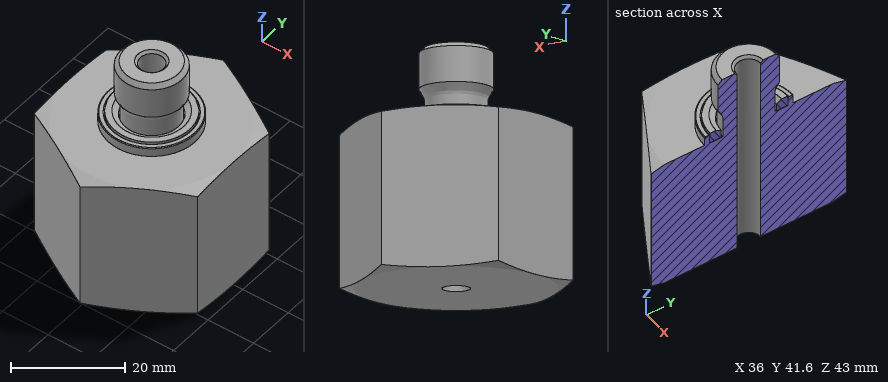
import cadquery as cq
import math

total_height = 43.0
hex_width = 36.0
hex_height = 29.02
hex_corner_diameter = hex_width / math.cos(math.radians(30))
hex_chamfer_diameter = 35.9
hex_chamfer_angle = 15.0

collar_diameter = 18.9
collar_top = 31.0
collar_chamfer = 0.17
recess_diameter = 16.6
recess_floor = hex_height
recess_chamfer = 0.2

neck_diameter = 11.2
neck_top = 33.65
thread_runout_diameter = 11.45
thread_runout_bottom = 34.23
thread_diameter = 13.15
thread_bottom = 35.7
thread_chamfer = 0.85
bore_diameter = 5.0
bore_mouth_diameter = 6.0
bore_mouth_depth = (bore_mouth_diameter - bore_diameter) / 2

seal_diameter = 16.5
seal_top = 31.3
seal_mouth_diameter = 13.95
seal_bore_diameter = 11.6
seal_mouth_slope = 30.0
seal_mouth_depth = (seal_mouth_diameter - seal_bore_diameter) / 2 * math.tan(math.radians(seal_mouth_slope))


def revolve_profile(points):
    """Turn a closed (radius, height) outline about the Z axis."""
    return cq.Workplane("XZ").polyline(points).close().revolve(360, (0, 0), (0, 1))


def make_hex_base():
    """Hexagonal prism with its corners turned off conically at both ends."""
    prism = (
        cq.Workplane("XY")
        .polygon(6, hex_corner_diameter)
        .extrude(hex_height)
        .rotate((0, 0, 0), (0, 0, 1), 30)
    )
    inner_radius = hex_chamfer_diameter / 2
    outer_radius = hex_corner_diameter / 2
    drop = (outer_radius - inner_radius) * math.tan(math.radians(hex_chamfer_angle))
    corner_envelope = revolve_profile([
        (0, 0),
        (inner_radius, 0),
        (outer_radius, drop),
        (outer_radius, hex_height - drop),
        (inner_radius, hex_height),
        (0, hex_height),
    ])
    return prism.intersect(corner_envelope)


def make_collar():
    """Chamfered collar with a round recess, chamfered at its mouth, around the stud."""
    collar = (
        cq.Workplane("XY", origin=(0, 0, hex_height))
        .circle(collar_diameter / 2)
        .extrude(collar_top - hex_height)
        .faces(">Z")
        .chamfer(collar_chamfer)
    )
    recess = revolve_profile([
        (0, recess_floor),
        (recess_diameter / 2, recess_floor),
        (recess_diameter / 2, collar_top - recess_chamfer),
        (recess_diameter / 2 + recess_chamfer, collar_top),
        (0, collar_top),
    ])
    return collar.cut(recess)


def make_stud():
    """Stud with a plain cylindrical thread section on a narrower neck."""
    return revolve_profile([
        (0, recess_floor),
        (neck_diameter / 2, recess_floor),
        (neck_diameter / 2, neck_top),
        (thread_runout_diameter / 2, thread_runout_bottom),
        (thread_diameter / 2, thread_bottom),
        (thread_diameter / 2, total_height - thread_chamfer),
        (thread_diameter / 2 - thread_chamfer, total_height),
        (0, total_height),
    ])


def make_bore():
    """Through bore with a countersunk upper mouth."""
    return revolve_profile([
        (0, 0),
        (bore_diameter / 2, 0),
        (bore_diameter / 2, total_height - bore_mouth_depth),
        (bore_mouth_diameter / 2, total_height),
        (0, total_height),
    ])


def make_fitting():
    """Hexagonal base, collar and stud in one piece, bored through."""
    return make_hex_base().union(make_collar()).union(make_stud()).cut(make_bore())


def make_seal_ring():
    """Seal ring around the neck, with a conical inner mouth."""
    return revolve_profile([
        (seal_bore_diameter / 2, recess_floor),
        (seal_diameter / 2, recess_floor),
        (seal_diameter / 2, seal_top),
        (seal_mouth_diameter / 2, seal_top),
        (seal_bore_diameter / 2, seal_top - seal_mouth_depth),
    ])


fitting = make_fitting()
seal_ring = make_seal_ring()
result = cq.Compound.makeCompound([fitting.val(), seal_ring.val()])